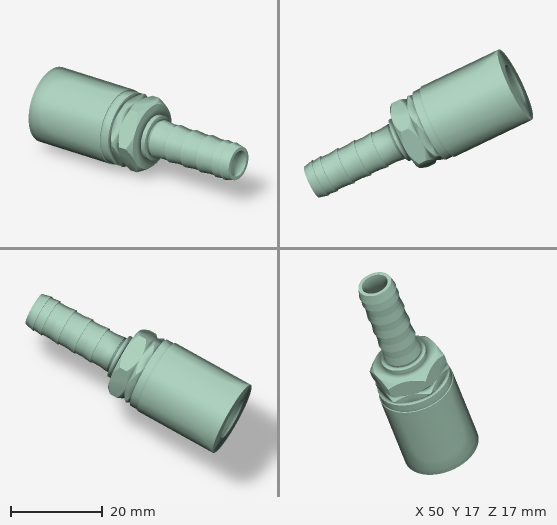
import cadquery as cq
import math

total_length = 50.0

sleeve_diameter = 17.0
sleeve_length = 19.0
collar_diameter = 16.5
collar_end = 21.0

hex_corner_diameter = sleeve_diameter
hex_flats = hex_corner_diameter * math.cos(math.pi / 6)
ring_end = 23.0
nut_end = 27.0

stem_radius = 4.0
flange_radius = 5.05
flange_start = 27.5
flange_end = 28.5
barb_count = 5
barb_radius = 4.25
barb_pitch = 4.15
barb_length = barb_pitch / 2
first_barb = 29.15
nose_start = first_barb + (barb_count - 1) * barb_pitch + barb_length
nose_radius = 3.75

socket_diameter = 9.6
socket_depth = sleeve_length
bore_diameter = 5.9


def cylinder(start, end, diameter):
    """Round bar along X from start to end."""
    return cq.Workplane("YZ", origin=(start, 0, 0)).circle(diameter / 2).extrude(end - start)


def turned(outline):
    """Solid of revolution about X from closed (x, radius) points."""
    return cq.Workplane("XY").polyline(outline).close().revolve(360, (0, 0, 0), (1, 0, 0))


def chamfered_hexagon(start, end):
    """Hexagon bar with corners on the Y axis and 45 degree turned corners at both ends."""
    length = end - start
    face_radius = hex_flats / 2
    chamfer = min(hex_corner_diameter / 2 - face_radius, length / 2)
    hexagon = cq.Workplane("YZ", origin=(start, 0, 0)).polygon(6, hex_corner_diameter).extrude(length)
    outline = [(start, 0), (start, face_radius), (start + chamfer, face_radius + chamfer)]
    if length > 2 * chamfer:
        outline.append((end - chamfer, face_radius + chamfer))
    outline += [(end, face_radius), (end, 0)]
    return hexagon.intersect(turned(outline))


def barb(start, end, end_radius):
    """Sharp-shouldered barb whose straight flank tapers to end_radius."""
    outline = [(start, 0), (start, barb_radius), (end, end_radius), (end, 0)]
    return turned(outline)


body = cylinder(0, sleeve_length, sleeve_diameter)
body = body.union(cylinder(sleeve_length, collar_end, collar_diameter))

body = body.union(chamfered_hexagon(collar_end, ring_end))
body = body.union(chamfered_hexagon(ring_end, nut_end))

body = body.union(cylinder(nut_end, nose_start, 2 * stem_radius))
body = body.union(cylinder(flange_start, flange_end, 2 * flange_radius))
for index in range(barb_count):
    barb_start = first_barb + index * barb_pitch
    body = body.union(barb(barb_start, barb_start + barb_length, stem_radius))
body = body.union(barb(nose_start, total_length, nose_radius))

body = body.cut(cylinder(0, socket_depth, socket_diameter))
result = body.cut(cylinder(0, total_length, bore_diameter))